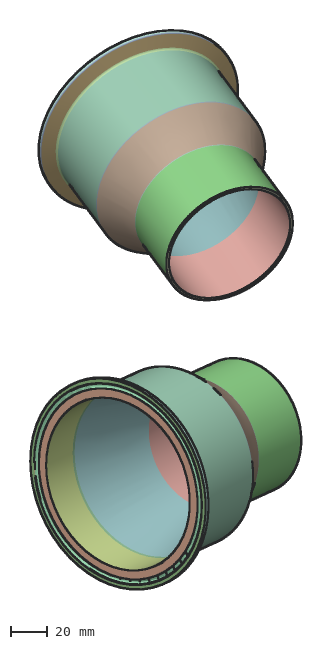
import cadquery as cq
import math

total_length = 114.3
rim_width = 2.7
outer_cone_start = 54.1
inner_cone_start = 24.9
small_tube_start = 76.2

rim_radius = 118.9 / 2
large_outer_radius = 101.5 / 2
large_bore_radius = 97.4 / 2
small_outer_radius = 76.2 / 2
small_bore_radius = 72.9 / 2

flange_back_angle = 20
hub_start = rim_width + (rim_radius - large_outer_radius) * math.tan(math.radians(flange_back_angle))

groove_radius = 55.2
groove_half_width = 1.4
groove_depth = 1.2

cone_sag = 0.42

rim_rounding = 0.7
hub_rounding = 1.3
outer_cone_rounding = 1.0
inner_cone_rounding = 5.7
groove_rounding = 0.4


def hollow_midpoint(start, end):
    """Middle of a shallow arc that dips towards the axis by cone_sag below its chord."""
    length = end[0] - start[0]
    rise = end[1] - start[1]
    chord = math.hypot(length, rise)
    middle_x = (start[0] + end[0]) / 2 + cone_sag * rise / chord
    middle_radius = (start[1] + end[1]) / 2 - cone_sag * length / chord
    return (middle_x, middle_radius)


def revolve_about_axis(profile):
    return profile.revolve(360, (0, 0, 0), (1, 0, 0))


def make_body():
    """Revolve the wall: clamp flange, large tube, hollow cones and small tube."""
    outer_start = (outer_cone_start, large_outer_radius)
    outer_end = (small_tube_start, small_outer_radius)
    inner_start = (inner_cone_start, large_bore_radius)
    inner_end = (small_tube_start, small_bore_radius)
    profile = (
        cq.Workplane("XY")
        .moveTo(0, large_bore_radius)
        .lineTo(0, rim_radius)
        .lineTo(rim_width, rim_radius)
        .lineTo(hub_start, large_outer_radius)
        .lineTo(*outer_start)
        .threePointArc(hollow_midpoint(outer_start, outer_end), outer_end)
        .lineTo(total_length, small_outer_radius)
        .lineTo(total_length, small_bore_radius)
        .lineTo(*inner_end)
        .threePointArc(hollow_midpoint(inner_start, inner_end), inner_start)
        .close()
    )
    return revolve_about_axis(profile)


def make_groove():
    """Round-bottomed gasket groove, as the ring to be cut away."""
    profile = (
        cq.Workplane("XY")
        .moveTo(0, groove_radius - groove_half_width)
        .threePointArc((groove_depth, groove_radius), (0, groove_radius + groove_half_width))
        .close()
    )
    return revolve_about_axis(profile)


def round_edge(body, x, radius, rounding):
    """Fillet the circular edge of the given radius that lies at x on the axis."""
    tolerance = 0.01

    def is_wanted(edge):
        return (
            edge.geomType() == "CIRCLE"
            and abs(edge.radius() - radius) < tolerance
            and abs(edge.Center().x - x) < tolerance
        )

    return body.edges().filter(is_wanted).fillet(rounding)


rounded_edges = [
    (rim_width, rim_radius, rim_rounding),
    (hub_start, large_outer_radius, hub_rounding),
    (outer_cone_start, large_outer_radius, outer_cone_rounding),
    (small_tube_start, small_outer_radius, outer_cone_rounding),
    (inner_cone_start, large_bore_radius, inner_cone_rounding),
    (0, groove_radius - groove_half_width, groove_rounding),
    (0, groove_radius + groove_half_width, groove_rounding),
]

reducer = make_body().cut(make_groove())
for edge_x, edge_radius, edge_rounding in rounded_edges:
    reducer = round_edge(reducer, edge_x, edge_radius, edge_rounding)

result = cq.Workplane(reducer.solids().val())